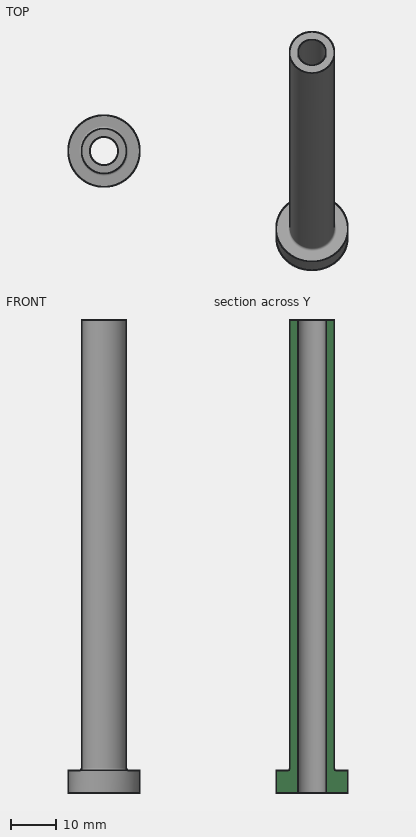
import cadquery as cq

total_length = 105.0
head_diameter = 16.0
head_height = 5.0
shaft_diameter = 10.0
bore_diameter = 6.2
neck_fillet = 0.5

head_radius = head_diameter / 2
shaft_radius = shaft_diameter / 2
bore_radius = bore_diameter / 2

half_section = (
    cq.Workplane("XZ")
    .moveTo(bore_radius, 0)
    .lineTo(head_radius, 0)
    .lineTo(head_radius, head_height)
    .lineTo(shaft_radius + neck_fillet, head_height)
    .radiusArc((shaft_radius, head_height + neck_fillet), neck_fillet)
    .lineTo(shaft_radius, total_length)
    .lineTo(bore_radius, total_length)
    .close()
)

result = half_section.revolve(360, (0, 0, 0), (0, 1, 0))